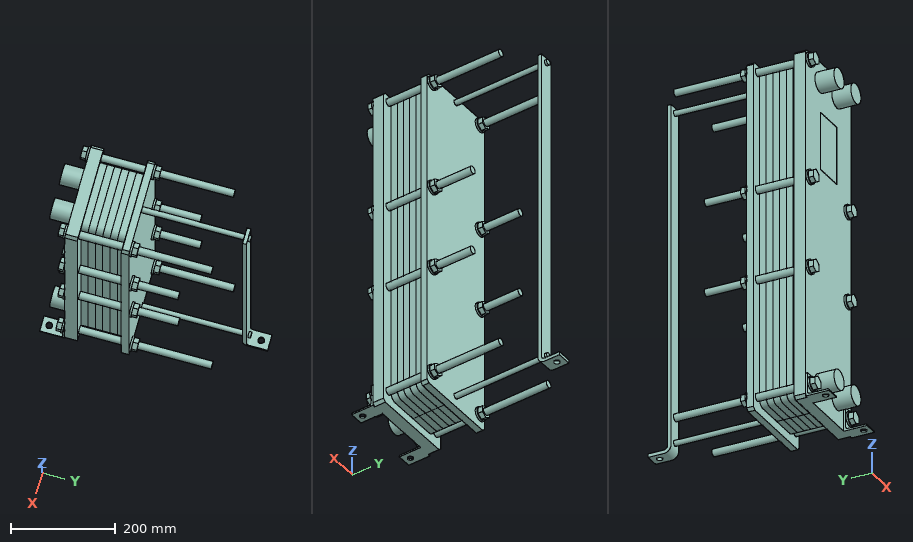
import cadquery as cq
import math


plate_width = 190
plate_height = 755
plate_corner = 6
frame_thickness = 25
pressure_thickness = 15

channel_count = 6
channel_pitch = 14.5
channel_width = 140
channel_corner = 15
rail_cover = 0.2

frame_back = frame_thickness
pressure_front = frame_back + channel_count * channel_pitch
pressure_back = pressure_front + pressure_thickness

rail_diameter = 12
rail_top_z = 742.5
rail_bottom_z = 25.5
rail_tip = 343
rail_levels = (rail_top_z, rail_bottom_z)

pack_top = rail_top_z + rail_diameter / 2 + rail_cover
pack_bottom = rail_bottom_z - rail_diameter / 2 - rail_cover

column_width = 32
column_front = 330
column_thickness = 8
column_bend = 8
column_end = 380
foot_hole_diameter = 12
column_hole_y = 363

foot_reach = 50
foot_height = 50
foot_thickness = 4
foot_width = 31.5
foot_bend = 5
foot_hole_y = -35
foot_tip_radius = 3

bolt_diameter = 16
bolt_x = 79
bolt_middle_z = 385.5
outer_bolt_offset = 353
inner_bolt_offset = 97.7
outer_bolt_end = 288
inner_bolt_end = 222
washer_diameter = 30
washer_thickness = 4
hex_flats = 24
hex_thickness = 10.5
hex_corners = hex_flats / math.cos(math.pi / 6)

nozzle_diameter = 42.4
nozzle_length = 41
nozzle_x = 35
nozzle_levels = (54, 709.8)

label_width = 67
label_height = 124
label_middle_z = 584
label_thickness = 0.5


def cylinder_y(diameter, x, z, start, end):
    """Round bar along Y between two Y positions."""
    bar = cq.Solid.makeCylinder(diameter / 2, end - start, cq.Vector(x, start, z), cq.Vector(0, 1, 0))
    return cq.Workplane("XY").newObject([bar])


def block(width, start, end, bottom, top):
    """Box centred on X = 0 between two Y positions and two heights."""
    return cq.Workplane("XY").box(width, end - start, top - bottom).translate(
        (0, (start + end) / 2, (bottom + top) / 2)
    )


def hex_y(x, z, start):
    """Hexagon head or nut along Y, with a corner pointing up."""
    prism = cq.Workplane("XY").polygon(6, hex_corners).extrude(hex_thickness)
    prism = prism.rotate((0, 0, 0), (0, 0, 1), 90).rotate((0, 0, 0), (1, 0, 0), -90)
    return prism.translate((x, start, z))


def end_plate(start, end):
    """Thick plate with chamfered corners."""
    return block(plate_width, start, end, 0, plate_height).edges("|Y").chamfer(plate_corner)


def bolt_places():
    """X, Z, threaded end and whether the head sits on a foot, for every tie bolt."""
    places = []
    for x in (-bolt_x, bolt_x):
        for side in (-1, 1):
            places.append((x, bolt_middle_z + side * outer_bolt_offset, outer_bolt_end, side < 0))
            places.append((x, bolt_middle_z + side * inner_bolt_offset, inner_bolt_end, False))
    return places


def tie_bolt(x, z, end, on_foot):
    """Stud with washers, head and nut clamping the two end plates."""
    seat = -foot_thickness if on_foot else 0
    head_back = seat - washer_thickness
    nut_front = pressure_back + washer_thickness
    bolt = cylinder_y(bolt_diameter, x, z, head_back, end)
    bolt = bolt.union(cylinder_y(washer_diameter, x, z, head_back, seat))
    bolt = bolt.union(hex_y(x, z, head_back - hex_thickness))
    bolt = bolt.union(cylinder_y(washer_diameter, x, z, pressure_back, nut_front))
    return bolt.union(hex_y(x, z, nut_front))


def frame_foot(x):
    """Angle bracket standing on the floor against the frame plate."""
    leg = block(foot_width, -foot_thickness, 0, 0, foot_height)
    tab = block(foot_width, -foot_reach, 0, 0, foot_thickness)
    foot = leg.union(tab)
    bend_edge = cq.selectors.NearestToPointSelector((0, -foot_thickness, foot_thickness))
    foot = foot.edges(bend_edge).fillet(foot_bend)
    tip_edge = cq.selectors.NearestToPointSelector((0, -foot_reach, foot_thickness))
    foot = foot.edges(tip_edge).fillet(foot_tip_radius)
    hole = cq.Workplane("XY").center(0, foot_hole_y).circle(foot_hole_diameter / 2).extrude(foot_thickness)
    return foot.cut(hole).translate((x, 0, 0))


def make_frame():
    """Frame plate with its name plate, nozzles, feet and tie bolts."""
    frame = end_plate(0, frame_back)
    label_bottom = label_middle_z - label_height / 2
    frame = frame.union(block(label_width, -label_thickness, 0, label_bottom, label_bottom + label_height))
    for x in (-nozzle_x, nozzle_x):
        for z in nozzle_levels:
            frame = frame.union(cylinder_y(nozzle_diameter, x, z, -nozzle_length, 0))
    for x in (-bolt_x, bolt_x):
        frame = frame.union(frame_foot(x))
    for place in bolt_places():
        frame = frame.union(tie_bolt(*place))
    return frame


def cut_rail_holes(body, start, end):
    """Rail passages through a body between two Y positions."""
    for z in rail_levels:
        body = body.cut(cylinder_y(rail_diameter, 0, z, start, end))
    return body


def make_pressure_plate():
    """Movable end plate, bored for the tie bolts and the rails."""
    plate = end_plate(pressure_front, pressure_back)
    for x, z, _, _ in bolt_places():
        plate = plate.cut(cylinder_y(bolt_diameter, x, z, pressure_front, pressure_back))
    return cut_rail_holes(plate, pressure_front, pressure_back)


def make_channel_plate(index):
    """One plate of the pack, with rounded corners."""
    start = frame_back + index * channel_pitch
    end = start + channel_pitch
    plate = block(channel_width, start, end, pack_bottom, pack_top).edges("|Y").fillet(channel_corner)
    return cut_rail_holes(plate, start, end)


def make_column():
    """Bent support column carrying both guide rails."""
    column_back = column_front + column_thickness
    column = block(column_width, column_front, column_back, 0, plate_height)
    column = column.union(block(column_width, column_front, column_end, 0, column_thickness))
    inner_edge = cq.selectors.NearestToPointSelector((0, column_back, column_thickness))
    column = column.edges(inner_edge).fillet(column_bend)
    outer_edge = cq.selectors.NearestToPointSelector((0, column_front, 0))
    column = column.edges(outer_edge).fillet(column_bend + column_thickness)
    hole = cq.Workplane("XY").center(0, column_hole_y).circle(foot_hole_diameter / 2)
    column = column.cut(hole.extrude(column_thickness))
    for z in rail_levels:
        column = column.union(cylinder_y(rail_diameter, 0, z, frame_back, rail_tip))
    return column


frame = make_frame()
pressure_plate = make_pressure_plate()
channel_plates = [make_channel_plate(index) for index in range(channel_count)]
column = make_column()

result = cq.Compound.makeCompound(
    [frame.val(), pressure_plate.val(), *[plate.val() for plate in channel_plates], column.val()]
)